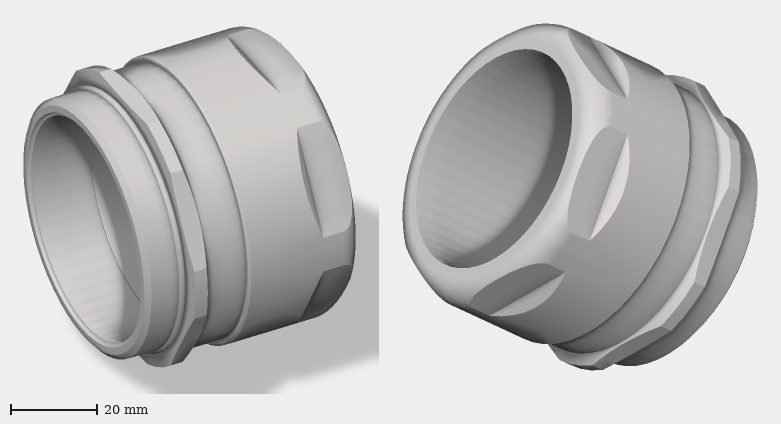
import cadquery as cq
import math

total_length = 55.0
spigot_diameter = 63.0
spigot_chamfer_length = 1.15
spigot_chamfer_depth = 1.45

ring_diameter = 64.7
ring_start = 8.25

nut_start = 10.05
nut_face_diameter = 67.0
nut_rim_start = 10.35
nut_rim_end = 13.6
nut_end = 15.1
nut_corner_diameter = 71.85
nut_across_flats = 67.8
nut_chamfer_angle = 30.0

neck_diameter = 67.0

cap_start = 24.9
cap_diameter = 70.0
cap_chamfer = 0.5
cap_end_radius = 5.3
cap_across_flats = 64.8
flat_start = 44.55
flat_count = 6

bore_diameter = 54.2
spigot_bore_diameter = 55.0
spigot_bore_depth = 16.25
spigot_bore_fillet = 0.85


def cylinder(diameter, start, end):
    """Solid cylinder along Y between two stations."""
    return cq.Workplane("XZ", origin=(0, end, 0)).circle(diameter / 2).extrude(end - start)


def make_spigot():
    """Plain end of the fitting, chamfered at its mouth."""
    radius = spigot_diameter / 2
    outline = [
        (0, 0),
        (radius - spigot_chamfer_depth, 0),
        (radius, spigot_chamfer_length),
        (radius, nut_end),
        (0, nut_end),
    ]
    return cq.Workplane("XY").polyline(outline).close().revolve(360, (0, 0), (0, 1))


def make_ring():
    """Sealing ring whose rounded half stands proud of the spigot."""
    section_radius = (nut_start - ring_start) / 2
    crest_radius = ring_diameter / 2
    seat_radius = crest_radius - section_radius
    section = (
        cq.Workplane("XY")
        .moveTo(0, ring_start)
        .lineTo(seat_radius, ring_start)
        .threePointArc((crest_radius, ring_start + section_radius), (seat_radius, nut_start))
        .lineTo(0, nut_start)
        .close()
    )
    return section.revolve(360, (0, 0), (0, 1))


def make_nut():
    """Hexagonal nut, its corners turned round and chamfered on the neck side."""
    rim_radius = nut_corner_diameter / 2
    top_radius = rim_radius - (nut_end - nut_rim_end) / math.tan(math.radians(nut_chamfer_angle))
    outline = [
        (0, nut_start),
        (nut_face_diameter / 2, nut_start),
        (rim_radius, nut_rim_start),
        (rim_radius, nut_rim_end),
        (top_radius, nut_end),
        (0, nut_end),
    ]
    turned = cq.Workplane("XY").polyline(outline).close().revolve(360, (0, 0), (0, 1))
    hexagon = (
        cq.Workplane("XZ", origin=(0, nut_end, 0))
        .polygon(flat_count, nut_across_flats, circumscribed=True)
        .extrude(nut_end - nut_start)
        .rotate((0, 0, 0), (0, 1, 0), 180 / flat_count)
    )
    return turned.intersect(hexagon)


def make_flat_cutter():
    """Prism that cuts the upper wrench flat and its 45 degree run-out."""
    flat_height = cap_across_flats / 2
    clear_height = cap_diameter / 2 + 0.7
    run_out = clear_height - flat_height
    outline = [
        (flat_start, flat_height),
        (total_length, flat_height),
        (total_length, clear_height),
        (flat_start - run_out, clear_height),
    ]
    return cq.Workplane("YZ").polyline(outline).close().extrude(cap_diameter / 2, both=True)


def make_cap():
    """Domed clamping cap with six wrench flats at its closed-up end."""
    cap = cylinder(cap_diameter, cap_start, total_length)
    cap = cap.faces(">Y").edges().fillet(cap_end_radius)
    cap = cap.faces("<Y").edges().chamfer(cap_chamfer)
    cutter = make_flat_cutter()
    for index in range(flat_count):
        angle = index * 360 / flat_count
        cap = cap.cut(cutter.rotate((0, 0, 0), (0, 1, 0), angle))
    return cap


def make_bore():
    """Through bore, slightly wider in the spigot and rounded at its mouth."""
    through = cylinder(bore_diameter, 0, total_length)
    radius = spigot_bore_diameter / 2
    outline = (
        cq.Workplane("XY")
        .lineTo(radius + spigot_bore_fillet, 0)
        .radiusArc((radius, spigot_bore_fillet), -spigot_bore_fillet)
        .lineTo(radius, spigot_bore_depth)
        .lineTo(0, spigot_bore_depth)
        .close()
    )
    return through.union(outline.revolve(360, (0, 0), (0, 1)))


neck = cylinder(neck_diameter, nut_end, cap_start)
body = make_spigot().union(make_ring()).union(make_nut()).union(neck).union(make_cap())
result = body.cut(make_bore())